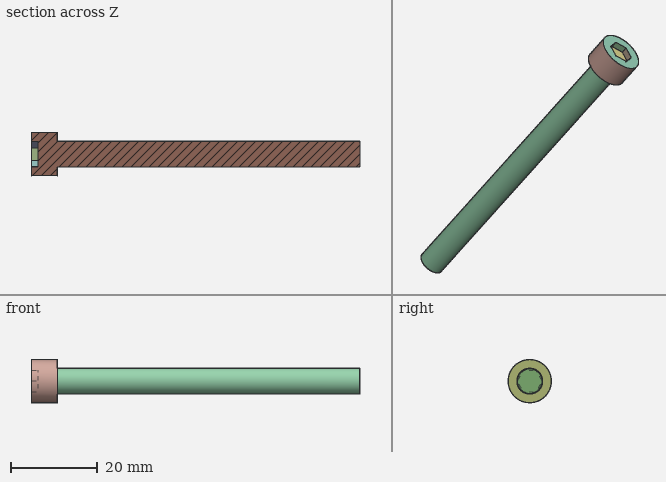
import cadquery as cq
import math

total_length = 76.0
head_diameter = 10.0
head_length = 6.0
shank_diameter = 6.0
tip_chamfer = 0.15
socket_across_flats = 5.0
socket_depth = 1.5

head_face_x = -total_length / 2
shank_length = total_length - head_length


def make_head():
    return cq.Workplane("YZ", origin=(head_face_x, 0, 0)).circle(head_diameter / 2).extrude(head_length)


def make_shank():
    shank = (
        cq.Workplane("YZ", origin=(head_face_x + head_length, 0, 0))
        .circle(shank_diameter / 2)
        .extrude(shank_length)
    )
    return shank.faces(">X").chamfer(tip_chamfer)


def make_hex_socket():
    across_corners = socket_across_flats / math.cos(math.pi / 6)
    return (
        cq.Workplane("YZ", origin=(head_face_x, 0, 0))
        .polygon(6, across_corners)
        .extrude(socket_depth)
    )


result = make_head().union(make_shank()).cut(make_hex_socket())